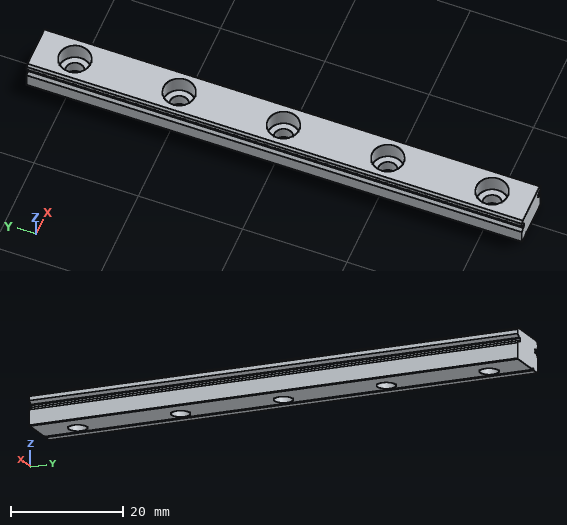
import cadquery as cq

width = 9.0
length = 95.0
height = 6.0
half_width = width / 2

top_chamfer = 0.43
bottom_chamfer = 0.14

raceway_z = 3.9
mouth_height = 1.7
slot_height = 0.6
flare_depth = 0.6
raceway_depth = 1.1

groove_x = -2.4
groove_radius = 0.3

hole_count = 5
end_distance = 7.5
hole_diameter = 3.5
counterbore_diameter = 6.0
counterbore_depth = 3.5
hole_pitch = (length - 2 * end_distance) / (hole_count - 1)


def make_rail_body():
    """Extrude the mirrored cross-section along Y."""
    flare_x = half_width - flare_depth
    floor_x = half_width - raceway_depth
    right_side = [
        (half_width - bottom_chamfer, 0),
        (half_width, bottom_chamfer),
        (half_width, raceway_z - mouth_height / 2),
        (flare_x, raceway_z - slot_height / 2),
        (floor_x, raceway_z - slot_height / 2),
        (floor_x, raceway_z + slot_height / 2),
        (flare_x, raceway_z + slot_height / 2),
        (half_width, raceway_z + mouth_height / 2),
        (half_width, height - top_chamfer),
        (half_width - top_chamfer, height),
    ]
    left_side = [(-x, z) for x, z in reversed(right_side)]
    profile = cq.Workplane("XZ").polyline(right_side + left_side).close()
    return profile.extrude(length / 2, both=True)


def cut_reference_groove(body):
    """Cut the shallow round full-length groove in the bottom face."""
    groove = (
        cq.Workplane("XZ")
        .center(groove_x, 0)
        .circle(groove_radius)
        .extrude(length / 2, both=True)
    )
    return body.cut(groove)


def cut_mounting_holes(body):
    """Cut one row of counterbored holes from the top face."""
    return (
        body.faces(">Z")
        .workplane(origin=(0, 0, height))
        .rarray(0.95, hole_pitch, 1, hole_count)
        .cboreHole(hole_diameter, counterbore_diameter, counterbore_depth)
    )


rail = make_rail_body()
rail = cut_mounting_holes(rail)
result = cut_reference_groove(rail)